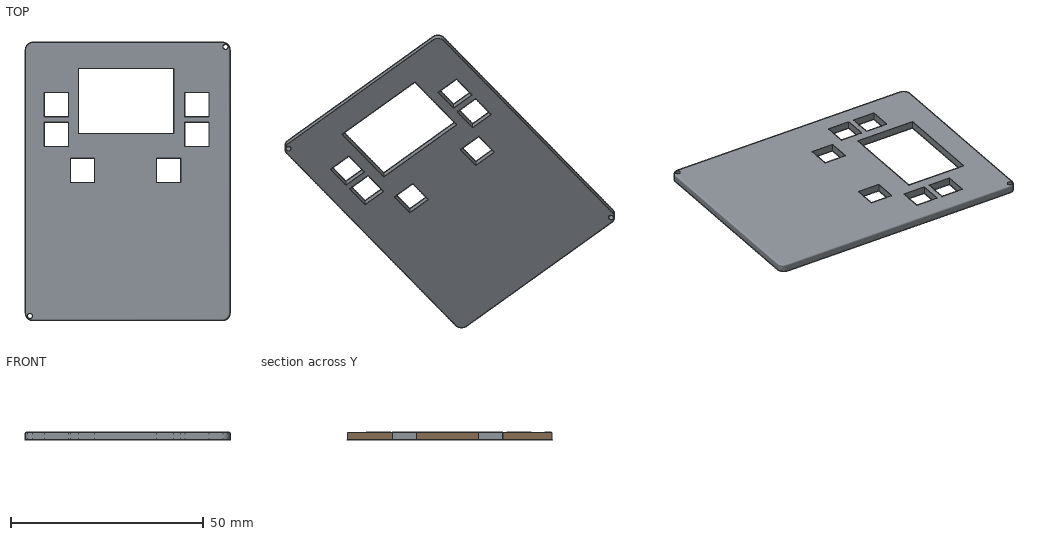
import cadquery as cq

width = 53.4
length = 72.5
thickness = 2.0
corner_radius = 2.0
top_edge_radius = 0.4

pin_hole_diameter = 1.3
pin_hole_inset = 1.2

window_width = 24.7
window_length = 16.9
window_center = (-0.4, 20.95)

button_size = 6.2
side_button_mid_x = -0.3
side_button_spacing = 36.55
side_button_rows = (20.0, 12.25)
lower_button_mid_x = -0.6
lower_button_spacing = 22.4
lower_button_row = 2.9


def button_pair(mid_x, spacing, row):
    """Centres of two buttons on one row, either side of mid_x."""
    return [(mid_x + side * spacing / 2, row) for side in (-1, 1)]


def make_plate():
    """Rounded plate with a rounded top edge."""
    plate = cq.Workplane("XY").box(width, length, thickness, centered=(True, True, False))
    plate = plate.edges("|Z").fillet(corner_radius)
    return plate.edges(">Z").fillet(top_edge_radius)


def make_openings():
    """Through-cutters for the display window and the buttons."""
    window = cq.Workplane("XY").center(*window_center).rect(window_width, window_length).extrude(thickness)

    button_centers = button_pair(lower_button_mid_x, lower_button_spacing, lower_button_row)
    for row in side_button_rows:
        button_centers += button_pair(side_button_mid_x, side_button_spacing, row)
    buttons = cq.Workplane("XY").pushPoints(button_centers).rect(button_size, button_size).extrude(thickness)
    return window.union(buttons)


def make_pin_holes():
    """Through-cutters for the corner pin holes."""
    hole_x = width / 2 - pin_hole_inset
    hole_y = length / 2 - pin_hole_inset
    corners = [(hole_x, hole_y), (-hole_x, -hole_y)]
    return cq.Workplane("XY").pushPoints(corners).circle(pin_hole_diameter / 2).extrude(thickness)


result = make_plate().cut(make_openings()).cut(make_pin_holes())